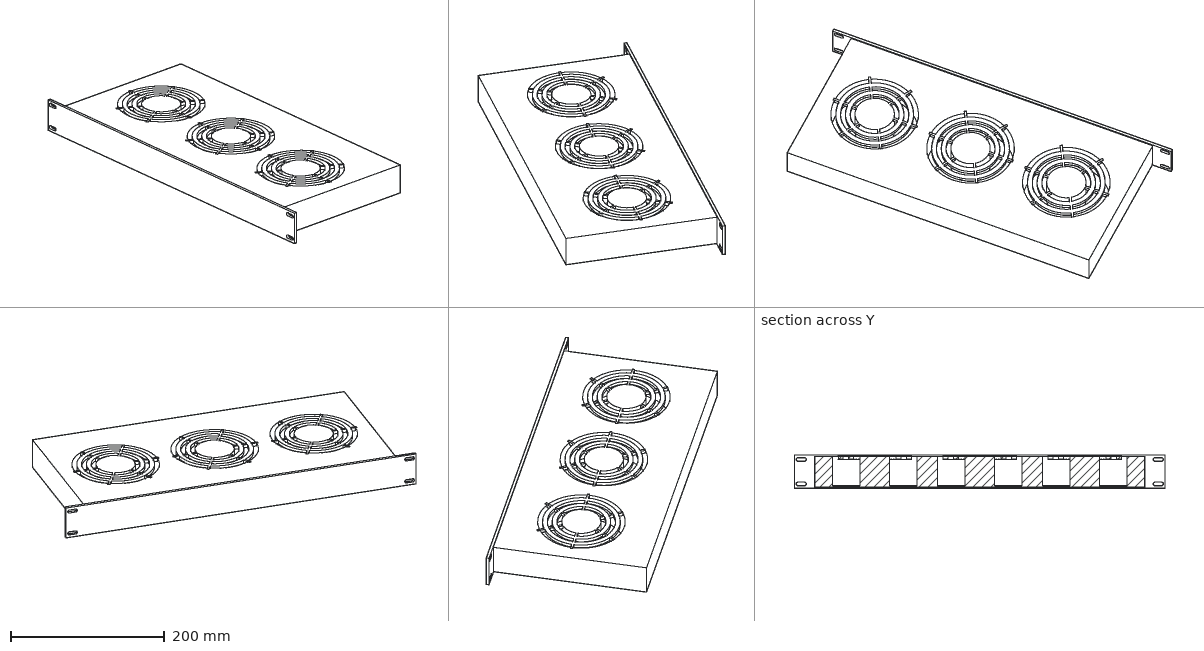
import cadquery as cq

panel_width = 482.5
panel_height = 43.5
panel_thickness = 4.0

body_width = 430.0
body_height = 40.0
total_depth = 208.0
body_top = body_height / 2

slot_length = 13.0
slot_height = 4.5
slot_spacing_x = 464.7
slot_spacing_z = 32.0

fan_count = 3
fan_pitch = 136.5
fan_center_y = total_depth / 2
floor_thickness = 2.0
opening_depth = body_height - floor_thickness
hub_radius = 25.5
ring_width = 6.5
ring_count = 2
ring_pitch = 2 * ring_width
opening_radius = hub_radius + ring_count * ring_pitch + ring_width
guard_rise = 0.25
guard_thickness = 4.5
hub_height = opening_depth + guard_rise
guard_bottom = hub_height - guard_thickness

spoke_count = 6
spoke_width = 3.0
spoke_length = 59.0
spoke_origin_y = -2.0


def make_panel():
    panel = cq.Workplane("XY").box(
        panel_width, panel_thickness, panel_height, centered=(True, False, True)
    )
    slots = (
        cq.Workplane("XZ")
        .rarray(slot_spacing_x, slot_spacing_z, 2, 2)
        .slot2D(slot_length, slot_height)
        .extrude(-panel_thickness)
    )
    return panel.cut(slots)


def make_body():
    return (
        cq.Workplane("XY")
        .box(body_width, total_depth - panel_thickness, body_height, centered=(True, False, True))
        .translate((0, panel_thickness, 0))
    )


def make_spoke(angle):
    """Radial bar with one long edge on the radial line through the spoke origin."""
    return (
        cq.Workplane("XY")
        .box(spoke_length, spoke_width, guard_thickness, centered=False)
        .rotate((0, 0, 0), (0, 0, 1), angle)
        .translate((0, spoke_origin_y, guard_bottom))
    )


def make_guard():
    """Hub standing on Z = 0 and centred on the Z axis, with thin rings and spokes at its top."""
    guard = cq.Workplane("XY").circle(hub_radius).extrude(hub_height)
    for index in range(ring_count):
        outer_radius = hub_radius + (index + 1) * ring_pitch
        ring = (
            cq.Workplane("XY", origin=(0, 0, guard_bottom))
            .circle(outer_radius)
            .circle(outer_radius - ring_width)
            .extrude(guard_thickness)
        )
        guard = guard.union(ring)
    for index in range(spoke_count):
        guard = guard.union(make_spoke(index * 360 / spoke_count))
    return guard


result = make_panel().union(make_body())
opening = cq.Workplane("XY").circle(opening_radius).extrude(opening_depth)
guard = make_guard()
for index in range(fan_count):
    fan_x = (index - (fan_count - 1) / 2) * fan_pitch
    fan_floor = (fan_x, fan_center_y, body_top - opening_depth)
    result = result.cut(opening.translate(fan_floor)).union(guard.translate(fan_floor))